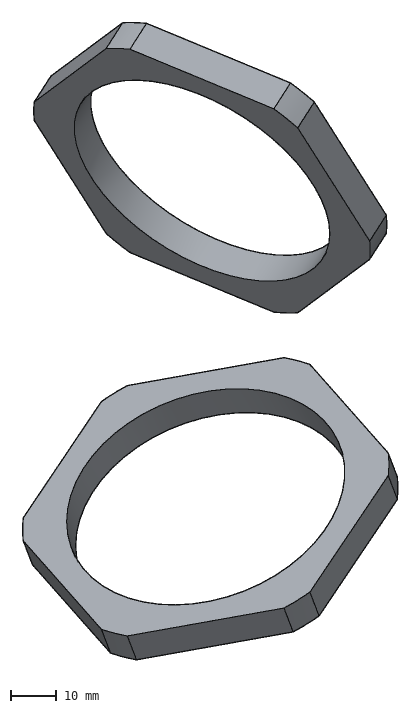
import cadquery as cq
import math

corner_diameter = 83.0
across_flats = 75.0
bore_diameter = 63.0
thickness = 8.0

sharp_corner_diameter = across_flats / math.cos(math.pi / 6)
hexagon = cq.Workplane("XZ").polygon(6, sharp_corner_diameter).extrude(thickness / 2, both=True)

blank = cq.Workplane("XZ").circle(corner_diameter / 2).extrude(thickness / 2, both=True)
bore = cq.Workplane("XZ").circle(bore_diameter / 2).extrude(thickness / 2, both=True)

result = hexagon.intersect(blank).cut(bore)